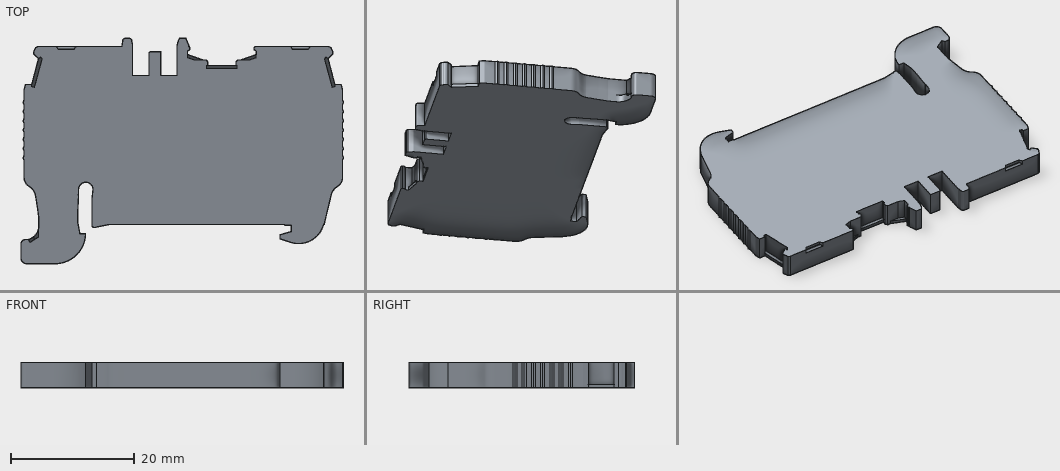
import cadquery as cq

THICKNESS = 4.15
TOP_EDGE = 28.92
EAR_TOP = 30.25
FOOT_BOTTOM = -6.35
HALF_WIDTH = 25.85
LEDGE_Z = 0.55

HEAD_START = 23.6
HEAD_SIDE = (23.95, 28.76)
HEAD_ROUND_START = (24.1, 28.4)
HEAD_ROUND_MID = (24.27, 28.0)
HEAD_TIP = (24.25, 27.66)
GRIP_UPPER = (23.5, 26.95)
SHOULDER_Y = 22.75
GRIP_LOWER = (24.6, SHOULDER_Y)
SHOULDER_START = 25.62
SHOULDER_END = 21.9
SIDE_BOTTOM = 7.75
WAIST_OUTER_MID = (25.65, 6.88)
WAIST_BEND = (25.03, 6.22)
WAIST_INNER_MID = (24.35, 5.6)
WAIST_END_X = 24.0
WAIST_END_Y = 4.8
LOWER_CORNER = (22.85, 0)

GRIP_LEDGE = [GRIP_LOWER, (24.6, 22.4), (24.15, 22.3), (22.9, 26.9), (23.15, 27.2), GRIP_UPPER]

TOOTH_COUNT = 7
TOOTH_PITCH = 1.5
TOOTH_BASE = 0.66
TOOTH_HEIGHT = 0.17
TOOTH_FIRST_Y = 10.85
TOOTH_ROOT = 0.2

RECESS_X = 19.0
RECESS_WIDTH_OUTER = 3.2
RECESS_WIDTH_INNER = 2.5
RECESS_DEPTH = 0.5
RECESS_RAMP_TOP = 0.38
RECESS_STEP_Z = THICKNESS - 0.5
RECESS_EDGE_Z = THICKNESS - 0.7

LEFT_EAR_X = -9.98
LEFT_EAR_ROUND_START = (-9.85, 29.8)
LEFT_EAR_ROUND_MID = (-9.73, 30.12)
LEFT_EAR_CROWN_START = -9.45
LEFT_EAR_CROWN_END = -8.75
LEFT_EAR_SHOULDER_MID = (-8.46, 30.12)
LEFT_EAR_SHOULDER_END = (-8.33, 29.75)
LEFT_EAR_TAPER_Y = 29.2
RIGHT_EAR_TAPER_Y = 29.1
RIGHT_EAR_SHOULDER = (-0.78, 30.0)
RIGHT_EAR_CROWN_START = -0.6
RIGHT_EAR_CROWN_END = 0.43
RIGHT_EAR_BEND = (0.7, 29.57)
RIGHT_EAR_LIP_TOP = 28.7

SLOT_FLOOR = 24.22
SLOT_LEFT = -8.2
SLOT_RIGHT = -1.03
POST_LEFT = -5.57
POST_RIGHT = -3.63
POST_TOP = 28.1
POST_CHAMFER = 0.2

WINDOW_X = 6.26
WINDOW_LIP = 5.18
WINDOW_WALL = 5.56
LIP_CHAMFER = 0.2
LIP_BOTTOM = 28.43
WALL_TOP = 28.14
WALL_BOTTOM = 27.62
RAMP_END = 3.1
SEAT_Y = 26.76
SEAT_END = 2.54
WELL_HALF = 2.28
WELL_SHOULDER = 26.4
WELL_FLOOR = 25.84
WELL_LEDGE_HALF = 2.48
WELL_LEDGE_FLOOR = 25.32
WALL_LEDGE_BOTTOM = 27.1
RAMP_LEDGE_START = 4.56

SPRING_SLOT_END = 5.72
SPRING_LEFT = -16.97
SPRING_RIGHT = -14.66
CLAW_TOP = -1.46
CLAW_ROOT = (-16.75, CLAW_TOP)
SPRING_BEND_LOWER = (-17.1, 0.35)
SPRING_BEND_UPPER = (-17.1, 2.1)
RAIL_STOP_X = -14.83
RAIL_STOP_ROUND_START = -0.15
RAIL_STOP_ROUND_MID = (-14.62, -0.42)
RAIL_STOP_ROUND_END = (-14.1, -0.4)
RAIL_STOP_END = -12.1
SLOT_NARROW_Y = 4.3
LEG_X = -23.45
LEG_TOP = 1.1
FILLET_TOP = -0.3
TOE_TOP = -2.37
TOE_LEFT = -26.36
TOE_UPPER_RADIUS = 0.8
TOE_LOWER_RADIUS = 1.0
LEG_BEND = (-23.66, 2.67)
FILLET_MID = (-23.98, -1.65)
FILLET_END_X = -25.1
CLAW_TIP_X = -15.83
SOLE_END_X = -20.9
SOLE_RADIUS = 5.0
RELIEF_WALL_END = -1.95
RELIEF_CORNER = (-24.85, -2.85)
RELIEF_LEFT = -25.15
FILLET_LEDGE_Z = 1.25
FILLET_STEP_Z = 0.9
FILLET_STEP_X = -24.2
FILLET_STEP_CORNER_Y = -2.43
HOOK_SIDE_END = (22.85, 0.4)
HOOK_ROUND_MID = (21.0, -2.4)
HOOK_ROUND_END = (17.6, -2.93)
HOOK_TIP_X = 15.65
HOOK_TIP_BOTTOM = -2.3
HOOK_TIP_TOP = -1.62
HOOK_THROAT_X = 17.47
HOOK_THROAT_BOTTOM = -1.1
THROAT_STEP = 0.1
THROAT_STEP_X = 16.5


def prism(sketch, bottom=0.0):
    """Extrude a closed outline from the given height to the upper face."""
    return sketch.close().extrude(THICKNESS - bottom)


def plane(bottom=0.0):
    return cq.Workplane("XY", origin=(0, 0, bottom))


def polygon(points, bottom=0.0):
    return prism(plane(bottom).polyline(points), bottom)


def mirrored(points, centre):
    return [(2 * centre - x, y) for x, y in points]


def half_body():
    return prism(
        plane()
        .moveTo(0, TOP_EDGE)
        .lineTo(HEAD_START, TOP_EDGE)
        .lineTo(*HEAD_SIDE)
        .lineTo(*HEAD_ROUND_START)
        .threePointArc(HEAD_ROUND_MID, HEAD_TIP)
        .lineTo(*GRIP_UPPER)
        .lineTo(*GRIP_LOWER)
        .lineTo(SHOULDER_START, SHOULDER_Y)
        .lineTo(HALF_WIDTH, SHOULDER_END)
        .lineTo(HALF_WIDTH, SIDE_BOTTOM)
        .threePointArc(WAIST_OUTER_MID, WAIST_BEND)
        .threePointArc(WAIST_INNER_MID, (WAIST_END_X, WAIST_END_Y))
        .lineTo(*LOWER_CORNER)
        .lineTo(0, 0)
    )


def tooth(y):
    root = HALF_WIDTH - TOOTH_ROOT
    half = TOOTH_BASE / 2
    return polygon([
        (root, y - half),
        (HALF_WIDTH, y - half),
        (HALF_WIDTH + TOOTH_HEIGHT, y),
        (HALF_WIDTH, y + half),
        (root, y + half),
    ])


def edge_recess():
    """Trapezoid notch whose floor ramps down to the upper edge of the body."""
    outer = RECESS_WIDTH_OUTER / 2
    inner = RECESS_WIDTH_INNER / 2
    notch = polygon([
        (RECESS_X - outer, TOP_EDGE),
        (RECESS_X - inner, TOP_EDGE - RECESS_DEPTH),
        (RECESS_X + inner, TOP_EDGE - RECESS_DEPTH),
        (RECESS_X + outer, TOP_EDGE),
    ])
    ramp_space = (
        cq.Workplane("YZ", origin=(RECESS_X - outer, 0, 0))
        .moveTo(TOP_EDGE, RECESS_EDGE_Z)
        .lineTo(TOP_EDGE - RECESS_RAMP_TOP, RECESS_STEP_Z)
        .lineTo(TOP_EDGE - RECESS_DEPTH, RECESS_STEP_Z)
        .lineTo(TOP_EDGE - RECESS_DEPTH, THICKNESS)
        .lineTo(TOP_EDGE, THICKNESS)
        .close()
        .extrude(RECESS_WIDTH_OUTER)
    )
    return notch.intersect(ramp_space)


def body():
    half = half_body()
    for index in range(TOOTH_COUNT):
        half = half.union(tooth(TOOTH_FIRST_Y + index * TOOTH_PITCH))
    half = half.cut(polygon(GRIP_LEDGE, LEDGE_Z)).cut(edge_recess())
    return half.union(half.mirror("YZ"))


def ears():
    """Two rounded lugs on the upper edge, one each side of the bridge slots."""
    left = prism(
        plane()
        .moveTo(LEFT_EAR_X, SLOT_FLOOR)
        .lineTo(LEFT_EAR_X, TOP_EDGE)
        .lineTo(*LEFT_EAR_ROUND_START)
        .threePointArc(LEFT_EAR_ROUND_MID, (LEFT_EAR_CROWN_START, EAR_TOP))
        .lineTo(LEFT_EAR_CROWN_END, EAR_TOP)
        .threePointArc(LEFT_EAR_SHOULDER_MID, LEFT_EAR_SHOULDER_END)
        .lineTo(SLOT_LEFT, LEFT_EAR_TAPER_Y)
        .lineTo(SLOT_LEFT, SLOT_FLOOR)
    )
    lip = WINDOW_X - WINDOW_LIP
    right = prism(
        plane()
        .moveTo(SLOT_RIGHT, SLOT_FLOOR)
        .lineTo(SLOT_RIGHT, RIGHT_EAR_TAPER_Y)
        .lineTo(*RIGHT_EAR_SHOULDER)
        .lineTo(RIGHT_EAR_CROWN_START, EAR_TOP)
        .lineTo(RIGHT_EAR_CROWN_END, EAR_TOP)
        .lineTo(*RIGHT_EAR_BEND)
        .lineTo(lip, RIGHT_EAR_LIP_TOP)
        .lineTo(lip, LIP_BOTTOM)
        .lineTo(WINDOW_X - WINDOW_WALL, WALL_TOP)
        .lineTo(WINDOW_X - WINDOW_WALL, SLOT_FLOOR)
    )
    return left.union(right)


def bridge_slots():
    gap = polygon([
        (SLOT_LEFT, SLOT_FLOOR),
        (SLOT_RIGHT, SLOT_FLOOR),
        (SLOT_RIGHT, EAR_TOP),
        (SLOT_LEFT, EAR_TOP),
    ])
    post = polygon([
        (POST_LEFT, SLOT_FLOOR),
        (POST_RIGHT, SLOT_FLOOR),
        (POST_RIGHT, POST_TOP),
        (POST_LEFT + POST_CHAMFER, POST_TOP),
        (POST_LEFT, POST_TOP - POST_CHAMFER),
    ])
    return gap.cut(post)


def marker_window():
    """Opening between the right ear and the upper edge, with its thin ledges."""
    right_side = [
        (WINDOW_X + WINDOW_LIP + LIP_CHAMFER, TOP_EDGE),
        (WINDOW_X + WINDOW_LIP, TOP_EDGE - LIP_CHAMFER),
        (WINDOW_X + WINDOW_LIP, LIP_BOTTOM),
        (WINDOW_X + WINDOW_WALL, WALL_TOP),
        (WINDOW_X + WINDOW_WALL, WALL_BOTTOM),
        (WINDOW_X + RAMP_END, SEAT_Y),
        (WINDOW_X + SEAT_END, SEAT_Y),
        (WINDOW_X + WELL_HALF, WELL_SHOULDER),
        (WINDOW_X + WELL_HALF, WELL_FLOOR),
    ]
    opening = polygon(right_side + mirrored(right_side, WINDOW_X)[::-1])
    ramp_ledge = [
        (WINDOW_X + WINDOW_WALL, WALL_BOTTOM),
        (WINDOW_X + WINDOW_WALL, WALL_LEDGE_BOTTOM),
        (WINDOW_X + RAMP_LEDGE_START, SEAT_Y),
        (WINDOW_X + RAMP_END, SEAT_Y),
    ]
    well_ledge = [
        (WINDOW_X - WELL_LEDGE_HALF, WELL_LEDGE_FLOOR),
        (WINDOW_X + WELL_LEDGE_HALF, WELL_LEDGE_FLOOR),
        (WINDOW_X + WELL_LEDGE_HALF, WELL_FLOOR),
        (WINDOW_X - WELL_LEDGE_HALF, WELL_FLOOR),
    ]
    for ledge in (ramp_ledge, mirrored(ramp_ledge, WINDOW_X), well_ledge):
        opening = opening.union(polygon(ledge, LEDGE_Z))
    return opening


def spring_slot():
    """Round-ended slot that frees the spring foot from the body."""
    middle = (SPRING_LEFT + SPRING_RIGHT) / 2
    radius = (SPRING_RIGHT - SPRING_LEFT) / 2
    return prism(
        plane()
        .moveTo(*CLAW_ROOT)
        .lineTo(*SPRING_BEND_LOWER)
        .lineTo(*SPRING_BEND_UPPER)
        .lineTo(SPRING_LEFT, SPRING_SLOT_END)
        .threePointArc((middle, SPRING_SLOT_END + radius), (SPRING_RIGHT, SPRING_SLOT_END))
        .lineTo(RAIL_STOP_X, SLOT_NARROW_Y)
        .lineTo(RAIL_STOP_X, CLAW_TOP)
    )


def rail_stop():
    """Shallow round-nosed wedge under the body, beside the spring slot."""
    return prism(
        plane()
        .moveTo(RAIL_STOP_X, SLOT_NARROW_Y)
        .lineTo(RAIL_STOP_X, RAIL_STOP_ROUND_START)
        .threePointArc(RAIL_STOP_ROUND_MID, RAIL_STOP_ROUND_END)
        .lineTo(RAIL_STOP_END, 0)
    )


def spring_foot():
    foot = prism(
        plane()
        .moveTo(-WAIST_END_X, WAIST_END_Y)
        .lineTo(*LEG_BEND)
        .lineTo(LEG_X, LEG_TOP)
        .lineTo(LEG_X, FILLET_TOP)
        .threePointArc(FILLET_MID, (FILLET_END_X, TOE_TOP))
        .lineTo(TOE_LEFT + TOE_UPPER_RADIUS, TOE_TOP)
        .radiusArc((TOE_LEFT, TOE_TOP - TOE_UPPER_RADIUS), -TOE_UPPER_RADIUS)
        .lineTo(TOE_LEFT, FOOT_BOTTOM + TOE_LOWER_RADIUS)
        .radiusArc((TOE_LEFT + TOE_LOWER_RADIUS, FOOT_BOTTOM), -TOE_LOWER_RADIUS)
        .lineTo(SOLE_END_X, FOOT_BOTTOM)
        .radiusArc((CLAW_TIP_X, CLAW_TOP), -SOLE_RADIUS)
        .lineTo(*CLAW_ROOT)
        .lineTo(*SPRING_BEND_LOWER)
        .lineTo(*SPRING_BEND_UPPER)
        .lineTo(SPRING_LEFT, WAIST_END_Y)
    )
    return foot.cut(fillet_relief())


def fillet_relief():
    """Sharp-cornered pocket over the foot's inner fillet, leaving a stepped ledge."""
    upper = polygon([
        (LEG_X, FILLET_TOP),
        (LEG_X, RELIEF_WALL_END),
        RELIEF_CORNER,
        (RELIEF_LEFT, TOE_TOP),
        (RELIEF_LEFT, FILLET_TOP),
    ], FILLET_LEDGE_Z)
    lower = polygon([
        (FILLET_STEP_X, FILLET_TOP),
        (FILLET_STEP_X, FILLET_STEP_CORNER_Y),
        RELIEF_CORNER,
        (RELIEF_LEFT, TOE_TOP),
        (RELIEF_LEFT, FILLET_TOP),
    ], FILLET_STEP_Z)
    return upper.union(lower)


def rail_hook():
    """Fixed hook at the right end that catches the rail flange."""
    return prism(
        plane()
        .moveTo(WAIST_END_X, WAIST_END_Y)
        .lineTo(*HOOK_SIDE_END)
        .threePointArc(HOOK_ROUND_MID, HOOK_ROUND_END)
        .lineTo(HOOK_TIP_X, HOOK_TIP_BOTTOM)
        .lineTo(HOOK_TIP_X, HOOK_TIP_TOP)
        .lineTo(HOOK_THROAT_X, HOOK_THROAT_BOTTOM)
        .lineTo(HOOK_THROAT_X, -THROAT_STEP)
        .lineTo(THROAT_STEP_X, -THROAT_STEP)
        .lineTo(THROAT_STEP_X - THROAT_STEP, 0)
        .lineTo(HOOK_THROAT_X, WAIST_END_Y)
    )


result = (
    body()
    .union(ears())
    .cut(bridge_slots())
    .cut(marker_window())
    .cut(spring_slot())
    .union(rail_stop())
    .union(spring_foot())
    .union(rail_hook())
)